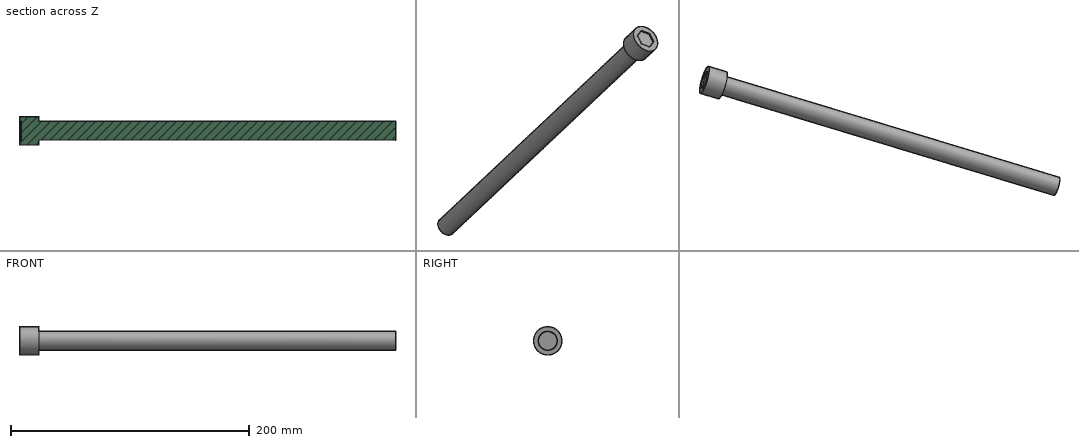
import cadquery as cq
import math

total_length = 316.0
shank_diameter = 16.0
head_diameter = 24.0
head_height = shank_diameter
socket_across_flats = 14.0
socket_depth = 1.3
tip_chamfer = 0.3

head_face_x = -total_length / 2


def rod(diameter, length):
    """Cylinder starting at the head face and running toward +X."""
    return cq.Workplane("YZ", origin=(head_face_x, 0, 0)).circle(diameter / 2).extrude(length)


shank = rod(shank_diameter, total_length).faces(">X").chamfer(tip_chamfer)

head = rod(head_diameter, head_height)

socket_across_corners = socket_across_flats / math.cos(math.pi / 6)
socket = (
    cq.Workplane("YZ", origin=(head_face_x, 0, 0))
    .polygon(6, socket_across_corners)
    .extrude(socket_depth)
)

result = head.union(shank).cut(socket)